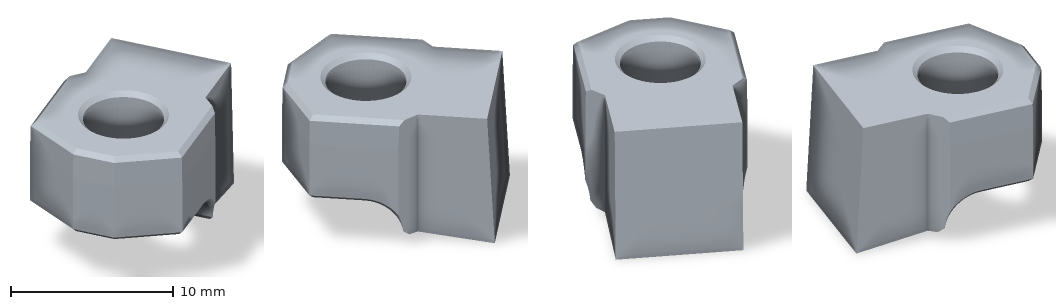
import cadquery as cq
import math

apothem = 5.04
facet_angle = math.radians(30)
total_length = 13.5
total_height = 9.0
eye_height = 6.0
edge_chamfer = 0.3

block_half_width = 3.97
block_shoulder_y = 3.69
back_draft = math.radians(3)
bottom_slope = math.radians(6)
back_y = total_length - apothem
back_top_y = back_y - total_height * math.tan(back_draft)
shoulder_run = apothem - block_half_width
shoulder_front_y = block_shoulder_y - shoulder_run

draft_depth = 2.0
draft_inset = 0.04

cove_radius = 2.4
cove_center_y = 0.5
cove_center_z = -(eye_height + cove_radius)
cove_end_z = -8.03
toe_y = 3.22

hole_radius = 2.5
counterbore_radius = 3.0
counterbore_top_z = -3.2

back_margin = 1.0


def bottom_z(y):
    """Height of the sloped bottom of the block at a given y."""
    return -total_height + (back_y - y) * math.tan(bottom_slope)


def cove_y(z):
    """Position of the cove surface at a given height."""
    return cove_center_y + math.sqrt(cove_radius**2 - (z - cove_center_z) ** 2)


def front_corners(distance):
    """Corners, right to left, between the side, slanted and front facets at one distance from the hole axis."""
    side_y = -distance * math.tan((math.pi / 2 - facet_angle) / 2)
    front_x = distance * math.tan(facet_angle / 2)
    return [
        (distance, side_y),
        (front_x, -distance),
        (-front_x, -distance),
        (-distance, side_y),
    ]


def plan_prism():
    """Full height prism of the plan outline."""
    outline = [
        (-apothem, shoulder_front_y),
        (-block_half_width, block_shoulder_y),
        (-block_half_width, back_y),
        (block_half_width, back_y),
        (block_half_width, block_shoulder_y),
        (apothem, shoulder_front_y),
    ]
    outline += front_corners(apothem)
    return cq.Workplane("XY").polyline(outline).close().extrude(-total_height)


def side_profile():
    """Side outline with drafted back, sloped bottom, toe bevel and cove, across the full width."""
    arc_angle = math.radians(45)
    arc_middle = (
        cove_center_y + cove_radius * math.cos(arc_angle),
        cove_center_z + cove_radius * math.sin(arc_angle),
    )
    return (
        cq.Workplane("YZ")
        .moveTo(-apothem, 0)
        .lineTo(-apothem, -eye_height)
        .lineTo(cove_center_y, -eye_height)
        .threePointArc(arc_middle, (cove_y(cove_end_z), cove_end_z))
        .lineTo(toe_y, bottom_z(toe_y))
        .lineTo(back_y, -total_height)
        .lineTo(back_top_y, 0)
        .close()
        .extrude(apothem, both=True)
    )


def chamfer_underside(body):
    """Chamfer the outer lower edges of the eye and the two side edges of the cove."""
    bottom_edges = body.faces("-Z").edges().filter(lambda edge: edge.Center().y < cove_center_y - edge_chamfer)
    cove_edges = body.edges("%CIRCLE")
    return bottom_edges.add(cove_edges).chamfer(edge_chamfer)


def eye_section(distance, z):
    """Wire of the eye outline at one height, running straight past the back of the block."""
    far_y = back_y + back_margin
    corners = [(-distance, far_y), (distance, far_y)] + front_corners(distance)
    return cq.Wire.makePolygon([cq.Vector(x, y, z) for x, y in corners], close=True)


def eye_envelope():
    """Tapered space that trims the outer faces: straight, then drafted, then chamfered at the top."""
    chamfer_z = -edge_chamfer
    drafted = apothem - draft_inset * (draft_depth - edge_chamfer) / draft_depth
    levels = [
        (apothem, -total_height),
        (apothem, -draft_depth),
        (drafted, chamfer_z),
        (drafted - edge_chamfer, 0),
    ]
    envelope = cq.Workplane("XY")
    for lower, upper in zip(levels, levels[1:]):
        layer = cq.Solid.makeLoft([eye_section(*lower), eye_section(*upper)], True)
        envelope = envelope.add(layer)
    return envelope.combine()


def cut_hole(body):
    """Through hole chamfered at the top, widened from below by a counterbore."""
    hole = cq.Workplane("XY").circle(hole_radius).extrude(-total_height)
    countersink_bottom = cq.Vector(0, 0, -edge_chamfer)
    countersink = cq.Solid.makeCone(hole_radius, hole_radius + edge_chamfer, edge_chamfer, countersink_bottom)
    counterbore = (
        cq.Workplane("XY")
        .workplane(offset=counterbore_top_z)
        .circle(counterbore_radius)
        .extrude(-total_height - counterbore_top_z)
    )
    return body.cut(hole).cut(countersink).cut(counterbore)


body = plan_prism().intersect(side_profile())
body = chamfer_underside(body)
body = body.intersect(eye_envelope())
result = cut_hole(body)